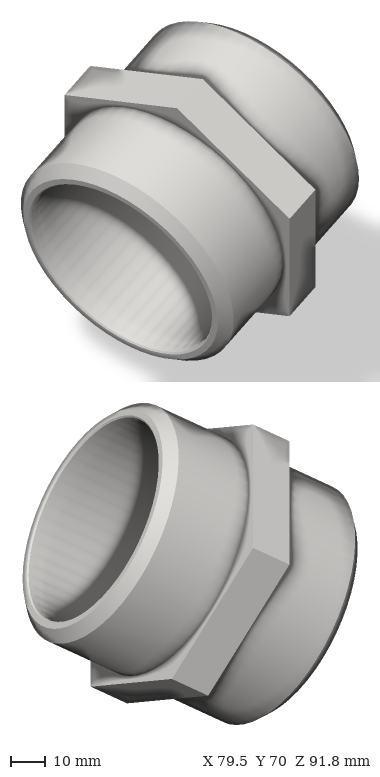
import cadquery as cq

hex_across_corners = 91.8
hex_width = 13.0
length = 70.0
barrel_diameter = 75.2
end_chamfer = 3.3
bore_diameter = 63.8
bore_chamfer = 0.5


def centered_prism(profile, depth):
    """Extrude an XZ profile equally to both sides of the mid plane."""
    return profile.extrude(depth / 2, both=True)


barrel = centered_prism(cq.Workplane("XZ").circle(barrel_diameter / 2), length)
barrel = barrel.faces("<Y or >Y").edges().chamfer(end_chamfer)

hexagon = cq.Workplane("XZ").transformed(rotate=(0, 0, 90)).polygon(6, hex_across_corners)
grip = centered_prism(hexagon, hex_width)

bore = centered_prism(cq.Workplane("XZ").circle(bore_diameter / 2), length)

body = barrel.union(grip).cut(bore)

bore_edges = body.faces("<Y or >Y").edges(cq.selectors.RadiusNthSelector(0))
result = bore_edges.chamfer(bore_chamfer)